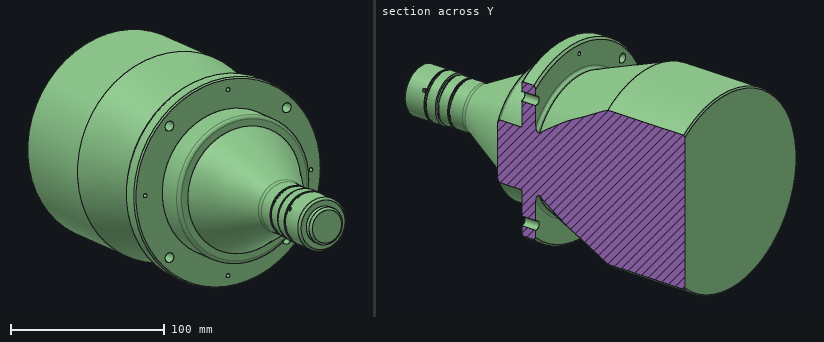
import cadquery as cq
import math

length = 264.3
barrel_end = 65.0
front_cone_end = 122.6
flange_start = 125.8
flange_end = 138.0
body_end = 158.5
rear_cone_end = 208.5
sleeve_start = 232.3
sleeve_end = 259.3

barrel_radius = 70.96
flange_radius = barrel_radius
body_radius = 50.0
rear_cone_radius = 42.8
tube_radius = 17.5
sleeve_radius = 18.2
tip_radius = 12.7

barrel_chamfer = 1.0
flange_front_chamfer = 1.5
flange_rear_chamfer = 1.0
body_fillet = 2.5
sleeve_chamfer = 1.5
tip_chamfer = 1.5
cone_blend = 6.3
neck_fillet = 2.0

groove_depth = 0.8
tube_groove_start = 221.0
tube_groove_width = 1.5
step_groove_width = 1.9
step_groove_start = sleeve_start - step_groove_width
sleeve_groove_start = 240.2
sleeve_groove_width = 1.5

hole_circle_radius = 63.0
large_hole_diameter = 6.5
small_hole_diameter = 2.6
flange_hole_count = 4

screw_x = 243.7
screw_diameter = 2.5
screw_depth = 2.6
screw_count = 3
first_screw_angle = 30


def cylinder(start, end, radius):
    return cq.Workplane("YZ", origin=(start, 0, 0)).circle(radius).extrude(end - start)


def cone(start, end, start_radius, end_radius):
    outline = [(start, 0), (start, start_radius), (end, end_radius), (end, 0)]
    return cq.Workplane("XY").polyline(outline).close().revolve(360, (0, 0, 0), (1, 0, 0))


def ring_groove(start, width, outer_radius):
    return cylinder(start, start + width, outer_radius).cut(
        cylinder(start, start + width, outer_radius - groove_depth)
    )


def flange_holes(diameter, first_angle):
    return (
        cq.Workplane("YZ", origin=(flange_start, 0, 0))
        .polarArray(hole_circle_radius, first_angle, 360, flange_hole_count)
        .circle(diameter / 2)
        .extrude(flange_end - flange_start)
    )


def screw_hole(angle):
    direction = cq.Vector(0, math.cos(math.radians(angle)), math.sin(math.radians(angle)))
    start = cq.Vector(screw_x, 0, 0) + direction * (sleeve_radius - screw_depth)
    return cq.Solid.makeCylinder(screw_diameter / 2, 2 * screw_depth, start, direction)


barrel = cylinder(0, barrel_end, barrel_radius).faces("<X").chamfer(barrel_chamfer)
front_cone = cone(barrel_end, front_cone_end, barrel_radius, body_radius)
neck = cylinder(front_cone_end, flange_start, body_radius)

flange = (
    cylinder(flange_start, flange_end, flange_radius)
    .faces("<X").chamfer(flange_front_chamfer)
    .faces(">X").chamfer(flange_rear_chamfer)
    .cut(flange_holes(large_hole_diameter, 45))
    .cut(flange_holes(small_hole_diameter, 0))
)
body = cylinder(flange_end, body_end, body_radius).faces(">X").edges().fillet(body_fillet)

rear_cone = cone(body_end, rear_cone_end, rear_cone_radius, tube_radius)
tube = cylinder(rear_cone_end, sleeve_start, tube_radius)
tail = rear_cone.union(tube)
tail = tail.edges(cq.selectors.NearestToPointSelector((rear_cone_end, 0, 0))).fillet(cone_blend)
sleeve = cylinder(sleeve_start, sleeve_end, sleeve_radius).faces(">X").chamfer(sleeve_chamfer)
tip = cylinder(sleeve_end, length, tip_radius).faces(">X").chamfer(tip_chamfer)

fillet_start = flange_start - neck_fillet
neck_blend = (
    cq.Workplane("XY")
    .moveTo(fillet_start, body_radius)
    .radiusArc((flange_start, body_radius + neck_fillet), -neck_fillet)
    .lineTo(flange_start, body_radius)
    .close()
    .revolve(360, (0, 0, 0), (1, 0, 0))
)

result = barrel
for section in (front_cone, neck, neck_blend, flange, body, tail, sleeve, tip):
    result = result.union(section)

result = result.cut(ring_groove(tube_groove_start, tube_groove_width, tube_radius))
result = result.cut(ring_groove(step_groove_start, step_groove_width, tube_radius))
result = result.cut(ring_groove(sleeve_groove_start, sleeve_groove_width, sleeve_radius))

for index in range(screw_count):
    result = result.cut(cq.Workplane(screw_hole(first_screw_angle + index * 360 / screw_count)))